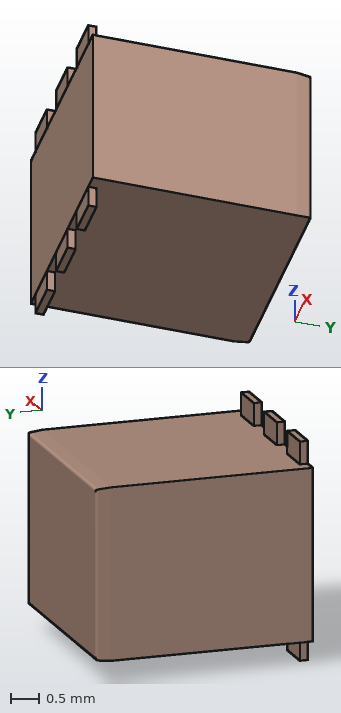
import cadquery as cq
import math

width = 3.81
depth = 4.06
overall_height = 4.06
body_height = 3.215
front_y = -depth / 2

taper_length = 0.28
taper_angle = 5.0
end_fillet = 0.05

lead_columns = 3
lead_pitch = 1.27
lead_width = 0.71
lead_thickness = 0.15
lead_length = (overall_height - body_height) / 2


def make_housing():
    """Rectangular block whose rear end narrows on all four sides to a rounded rim."""
    straight_depth = depth - taper_length
    inset = taper_length * math.tan(math.radians(taper_angle))
    block = cq.Workplane("XY").box(width, straight_depth, body_height).translate((0, -taper_length / 2, 0))
    tapered_end = (
        block.faces(">Y").workplane()
        .rect(width, body_height)
        .workplane(offset=taper_length)
        .rect(width - 2 * inset, body_height - 2 * inset)
        .loft(combine=True)
    )
    return tapered_end.faces(">Y").edges().fillet(end_fillet)


def make_lead(column, side):
    """Flat lead standing on the top (side = 1) or bottom (side = -1) of the housing."""
    x = (column - (lead_columns - 1) / 2) * lead_pitch
    y = front_y + lead_thickness / 2
    z = side * (body_height + lead_length) / 2
    return cq.Workplane("XY").box(lead_width, lead_thickness, lead_length).translate((x, y, z))


housing = make_housing()

leads = []
for side in (1, -1):
    for column in range(lead_columns):
        leads.append(make_lead(column, side).val())

result = cq.Compound.makeCompound([housing.val(), *leads])